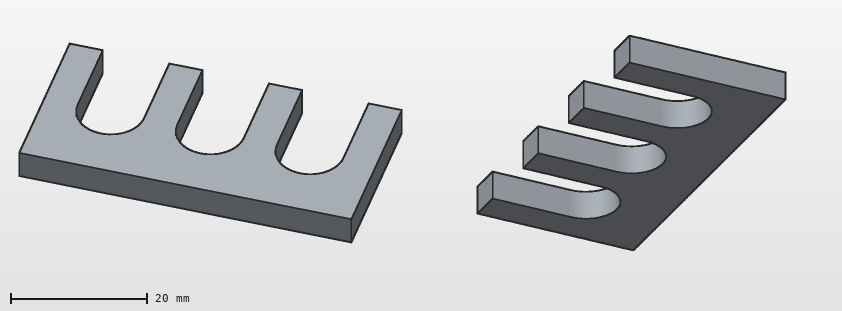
import cadquery as cq

length = 50.8
depth = 25.4
thickness = 4.5

slot_count = 3
slot_width = 10.15
slot_floor = 7.6

tine_width = (length - slot_count * slot_width) / (slot_count + 1)
slot_pitch = slot_width + tine_width
slot_radius = slot_width / 2
arc_center_y = slot_floor + slot_radius


def slot_cutter(center_x):
    """Round-bottomed slot that opens through the back edge."""
    left = center_x - slot_radius
    right = center_x + slot_radius
    return (
        cq.Workplane("XY")
        .moveTo(left, depth)
        .lineTo(left, arc_center_y)
        .threePointArc((center_x, slot_floor), (right, arc_center_y))
        .lineTo(right, depth)
        .close()
        .extrude(thickness)
    )


result = cq.Workplane("XY").box(length, depth, thickness, centered=False)
for index in range(slot_count):
    result = result.cut(slot_cutter(tine_width + slot_radius + index * slot_pitch))